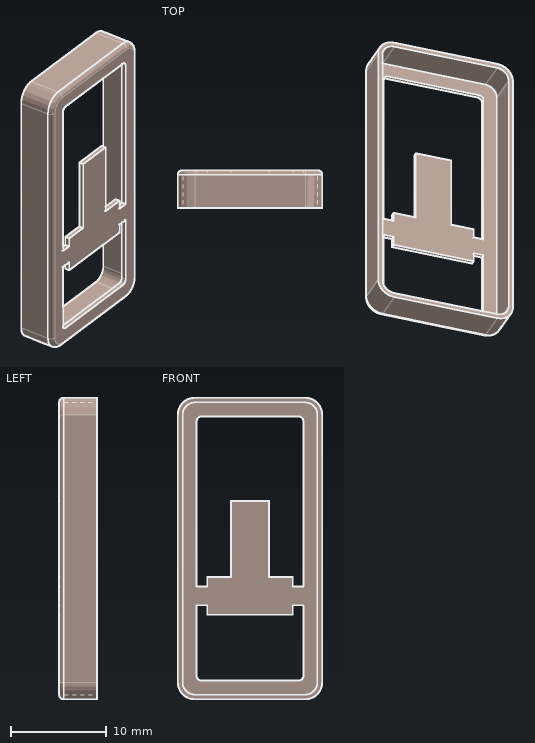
import cadquery as cq

WIDTH = 15.2
DEPTH = 4.0
HEIGHT = 31.7
CORNER_RADIUS = 1.8

THICKNESS = 0.5
BACK_Y = DEPTH / 2
SEAM_Y = BACK_Y - THICKNESS

RIM_WIDTH = 2.0
WINDOW_WIDTH = WIDTH - 2 * RIM_WIDTH
WINDOW_HEIGHT = HEIGHT - 2 * RIM_WIDTH
WINDOW_RADIUS = 0.48

TAB_HEIGHT = 2.0
TAB_CENTRE_Z = -4.98
BASE_WIDTH = 9.0
BASE_HEIGHT = 2 * TAB_HEIGHT
STEM_WIDTH = 4.0
STEM_TOP_Z = 5.0


def rounded_block(width, height, radius, front_y, back_y):
    """Block centred in X and Z, with its four edges along Y rounded."""
    depth = back_y - front_y
    block = cq.Workplane("XY").box(width, depth, height).edges("|Y").fillet(radius)
    return block.translate((0, (front_y + back_y) / 2, 0))


def plate_bar(width, bottom_z, top_z):
    """Rectangular bar centred in X, as thick as the back plate."""
    bar = cq.Workplane("XY").box(width, THICKNESS, top_z - bottom_z)
    return bar.translate((0, BACK_Y - THICKNESS / 2, (bottom_z + top_z) / 2))


def make_tongue():
    """Stem and base of the T, with a tab bar reaching both sides of the window."""
    base_bottom = TAB_CENTRE_Z - BASE_HEIGHT / 2
    base_top = TAB_CENTRE_Z + BASE_HEIGHT / 2
    tab_bottom = TAB_CENTRE_Z - TAB_HEIGHT / 2
    tab_top = TAB_CENTRE_Z + TAB_HEIGHT / 2

    base = plate_bar(BASE_WIDTH, base_bottom, base_top)
    stem = plate_bar(STEM_WIDTH, TAB_CENTRE_Z, STEM_TOP_Z)
    tabs = plate_bar(WINDOW_WIDTH, tab_bottom, tab_top)
    return base.union(stem).union(tabs)


def make_wall():
    """Open rectangular ring in front of the back plate."""
    inner_width = WIDTH - 2 * THICKNESS
    inner_height = HEIGHT - 2 * THICKNESS
    inner_radius = CORNER_RADIUS - THICKNESS

    outer = rounded_block(WIDTH, HEIGHT, CORNER_RADIUS, -BACK_Y, SEAM_Y)
    inner = rounded_block(inner_width, inner_height, inner_radius, -BACK_Y, SEAM_Y)
    return outer.cut(inner)


def make_back_plate():
    """Round-edged plate with the window and its tongue."""
    block = rounded_block(WIDTH, HEIGHT, CORNER_RADIUS, -BACK_Y, BACK_Y)
    block = block.faces(">Y").edges().fillet(THICKNESS)
    slice_behind_seam = plate_bar(WIDTH, -HEIGHT / 2, HEIGHT / 2)
    plate = block.intersect(slice_behind_seam)

    window = rounded_block(WINDOW_WIDTH, WINDOW_HEIGHT, WINDOW_RADIUS, SEAM_Y, BACK_Y)
    return plate.cut(window).union(make_tongue())


wall = make_wall()
back_plate = make_back_plate()

result = cq.Compound.makeCompound([wall.solids().val(), back_plate.solids().val()])